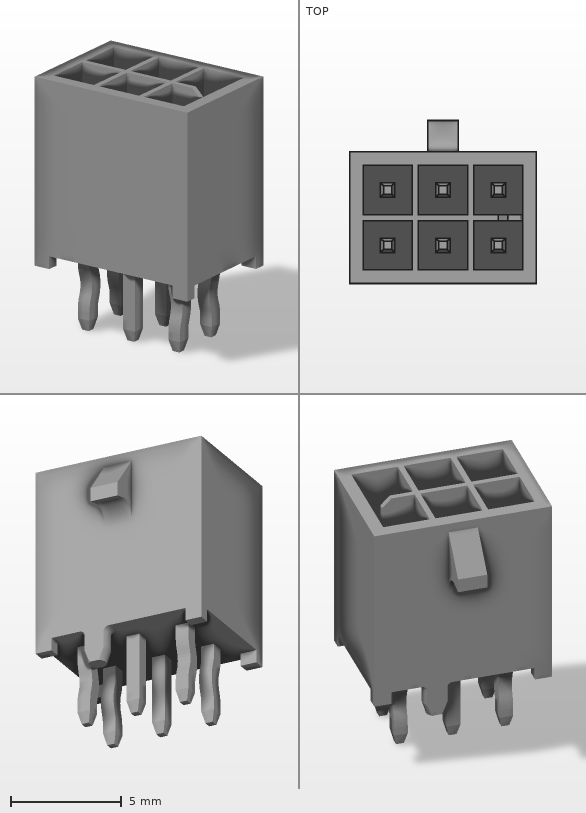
import cadquery as cq
import math


OVERALL_Y = 7.38
OVERALL_Z = 12.26

HOUSING_X = 8.43
HOUSING_Y = 5.97
HOUSING_Z = 8.45
OUTER_WALL = 0.63
INNER_WALL = 0.27
FLOOR_THICKNESS = 1.72

PITCH = 2.5
COLUMN_X = (-PITCH, 0, PITCH)
ROW_Y = (-PITCH / 2, PITCH / 2)

FOOT_X = 0.81
FOOT_Y = 0.58
FOOT_Z = 0.61

WALL_END_X = 2.93
WALL_NOTCH_DEPTH = 3.68
WALL_END_CHAMFER = 0.44

LATCH_X = 1.39
LATCH_REACH = OVERALL_Y - HOUSING_Y
RAMP_TOP_Z = HOUSING_Z - 0.45
RAMP_BOTTOM_Z = HOUSING_Z - 2.13
HOOK_TIP_Z = HOUSING_Z - 2.81
HOOK_CREST_Z = HOUSING_Z - 2.67
HOOK_RADIUS = 0.77

PEG_X = 1.24
PEG_Y = HOUSING_Y / 2 - 0.35
PEG_RADIUS = 0.6
PEG_TIP_RADIUS = 0.42
PEG_LENGTH = 1.62
PEG_CONE_LENGTH = 0.61
PEG_ROOT_FILLET = 0.22

PIN_WIDTH = 0.65
PIN_TIP_WIDTH = 0.37
PIN_TIP_LENGTH = 0.56
PIN_BOTTOM_Z = HOUSING_Z - OVERALL_Z
PIN_TOP_Z = 6.13
SHANK_BOTTOM_Z = PIN_BOTTOM_Z + PIN_TIP_LENGTH
SHANK_TOP_Z = PIN_TOP_Z - PIN_TIP_LENGTH
PIN_TIP_TAPER = math.degrees(math.atan((PIN_WIDTH - PIN_TIP_WIDTH) / 2 / PIN_TIP_LENGTH))

BEND_MIDDLE_Z = -1.7
BEND_HALF_SPAN = 1.15
BEND_OFFSET = 0.21
BEND_ANGLE = 2 * math.atan(BEND_OFFSET / BEND_HALF_SPAN)
BEND_RADIUS = BEND_HALF_SPAN / (2 * math.sin(BEND_ANGLE))


def box(x_min, x_max, y_min, y_max, z_min, z_max):
    """Axis-aligned block between the given limits."""
    size = (x_max - x_min, y_max - y_min, z_max - z_min)
    return cq.Workplane("XY").box(*size, centered=False).translate((x_min, y_min, z_min))


def make_cavities():
    """The six contact cavities, including the notch in the wall between the rows."""
    half_x = HOUSING_X / 2 - OUTER_WALL
    half_y = HOUSING_Y / 2 - OUTER_WALL
    half_wall = INNER_WALL / 2
    cavities = box(-half_x, half_x, -half_y, half_y, FLOOR_THICKNESS, HOUSING_Z)

    for wall_x in (-PITCH / 2, PITCH / 2):
        cavities = cavities.cut(
            box(wall_x - half_wall, wall_x + half_wall, -half_y, half_y, FLOOR_THICKNESS, HOUSING_Z)
        )

    row_wall = (
        cq.Workplane("XZ")
        .moveTo(-half_x, FLOOR_THICKNESS)
        .lineTo(half_x, FLOOR_THICKNESS)
        .lineTo(half_x, HOUSING_Z - WALL_NOTCH_DEPTH)
        .lineTo(WALL_END_X, HOUSING_Z - WALL_NOTCH_DEPTH)
        .lineTo(WALL_END_X, HOUSING_Z - WALL_END_CHAMFER)
        .lineTo(WALL_END_X - WALL_END_CHAMFER, HOUSING_Z)
        .lineTo(-half_x, HOUSING_Z)
        .close()
        .extrude(half_wall, both=True)
    )
    return cavities.cut(row_wall)


def make_feet():
    """One rectangular foot under each corner of the housing."""
    return (
        cq.Workplane("XY")
        .rect(HOUSING_X - FOOT_X, HOUSING_Y - FOOT_Y, forConstruction=True)
        .vertices()
        .rect(FOOT_X, FOOT_Y)
        .extrude(-FOOT_Z)
    )


def make_latch():
    """Ramp with a hollowed underside on the +Y face."""
    face_y = HOUSING_Y / 2
    tip_y = face_y + LATCH_REACH
    crest_y = face_y + HOOK_RADIUS
    return (
        cq.Workplane("YZ")
        .moveTo(face_y, RAMP_TOP_Z)
        .lineTo(tip_y, RAMP_BOTTOM_Z)
        .lineTo(tip_y, HOOK_TIP_Z)
        .lineTo(crest_y, HOOK_CREST_Z)
        .radiusArc((face_y, HOOK_CREST_Z - HOOK_RADIUS), -HOOK_RADIUS)
        .close()
        .extrude(LATCH_X / 2, both=True)
    )


def make_peg():
    """Round peg with a filleted root and a conical end."""
    peg = (
        cq.Workplane("XZ")
        .lineTo(PEG_RADIUS + PEG_ROOT_FILLET, 0)
        .radiusArc((PEG_RADIUS, -PEG_ROOT_FILLET), -PEG_ROOT_FILLET)
        .lineTo(PEG_RADIUS, PEG_CONE_LENGTH - PEG_LENGTH)
        .lineTo(PEG_TIP_RADIUS, -PEG_LENGTH)
        .lineTo(0, -PEG_LENGTH)
        .close()
        .revolve(360, (0, 0), (0, 1))
        .translate((PEG_X, PEG_Y, 0))
    )
    half_x = HOUSING_X / 2
    half_y = HOUSING_Y / 2
    return peg.intersect(box(-half_x, half_x, -half_y, half_y, -PEG_LENGTH, 0))


def make_pin_holes():
    """Square holes through the housing floor, one for each pin."""
    return (
        cq.Workplane("XY")
        .rarray(PITCH, PITCH, len(COLUMN_X), len(ROW_Y))
        .rect(PIN_WIDTH, PIN_WIDTH)
        .extrude(FLOOR_THICKNESS)
    )


def make_housing():
    body = cq.Workplane("XY").rect(HOUSING_X, HOUSING_Y).extrude(HOUSING_Z)
    body = body.cut(make_cavities())
    body = body.union(make_feet()).union(make_latch()).union(make_peg())
    return body.cut(make_pin_holes())


def draw_bend(outline, side, direction):
    """Continue a pin outline along the bend, on the face at y = side.

    direction is +1 when running up in Z and -1 when running down. The bend bulges toward +Y.
    """
    crest_radius = BEND_RADIUS + side
    root_radius = BEND_RADIUS - side
    crest_center_y = BEND_OFFSET - BEND_RADIUS

    def root_point(angle, end):
        y = BEND_RADIUS - root_radius * math.cos(angle)
        z = BEND_MIDDLE_Z + end * (BEND_HALF_SPAN - root_radius * math.sin(angle))
        return y, z

    crest = (crest_center_y + crest_radius, BEND_MIDDLE_Z)
    return (
        outline.lineTo(*root_point(0, -direction))
        .threePointArc(root_point(BEND_ANGLE / 2, -direction), root_point(BEND_ANGLE, -direction))
        .threePointArc(crest, root_point(BEND_ANGLE, direction))
        .threePointArc(root_point(BEND_ANGLE / 2, direction), root_point(0, direction))
    )


def make_pin(bent):
    """Square pin centred on the Z axis; a bent one bulges toward +Y below the housing."""
    half = PIN_WIDTH / 2
    outline = cq.Workplane("YZ").moveTo(-half, SHANK_BOTTOM_Z)
    if bent:
        outline = draw_bend(outline, -half, 1)
    outline = outline.lineTo(-half, SHANK_TOP_Z).lineTo(half, SHANK_TOP_Z)
    if bent:
        outline = draw_bend(outline, half, -1)
    shank = outline.lineTo(half, SHANK_BOTTOM_Z).close().extrude(half, both=True)

    tip = cq.Workplane("XY").rect(PIN_WIDTH, PIN_WIDTH).extrude(PIN_TIP_LENGTH, taper=PIN_TIP_TAPER)
    top_tip = tip.translate((0, 0, SHANK_TOP_Z))
    bottom_tip = tip.mirror("XY").translate((0, 0, SHANK_BOTTOM_Z))
    return shank.union(top_tip).union(bottom_tip)


def make_pins():
    """All six pins: the middle column is straight, the outer ones bend toward the other row."""
    pins = []
    for x in COLUMN_X:
        for y in ROW_Y:
            pin = make_pin(bent=(x != 0))
            if y > 0:
                pin = pin.rotate((0, 0, 0), (0, 0, 1), 180)
            pins.append(pin.translate((x, y, 0)))
    return pins


housing = make_housing()
pins = make_pins()

result = cq.Compound.makeCompound([housing.val(), *[pin.val() for pin in pins]])